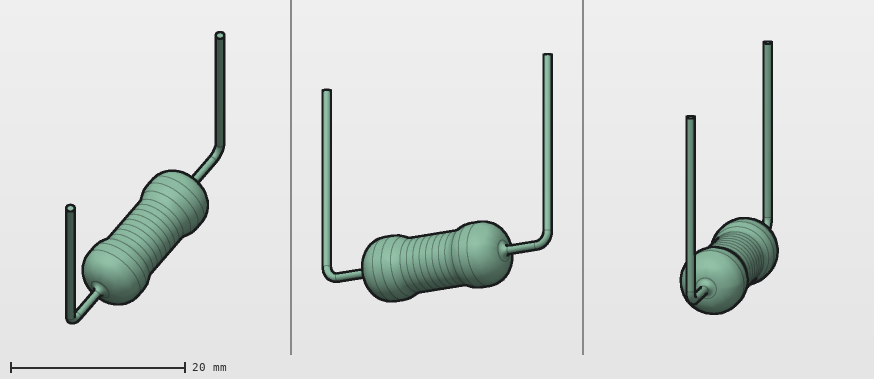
import cadquery as cq
import math

overall_length = 31.0
overall_height = 26.1

wire_diameter = 1.0
wire_radius = wire_diameter / 2
bend_radius = 1.5
lead_y = (overall_length - wire_diameter) / 2

cap_radius = 7.5 / 2
waist_radius = 6.4 / 2
body_half_length = 9.02
cap_round_length = 2.6
cap_inner_edge = 5.25
lead_top = overall_height - cap_radius

collar_radius = 0.75
collar_base_radius = wire_radius + collar_radius

band_count = 7
band_width = 0.87
waist_half_length = band_count * band_width / 2


def cap():
    """Revolve the +Y end of the body, from the end of the waist to the collar."""
    collar_end = body_half_length + collar_radius
    collar_offset = collar_radius * math.sin(math.pi / 4)
    collar_middle = (collar_base_radius - collar_offset, collar_end - collar_offset)
    flare_middle = ((waist_radius + cap_radius) / 2, (waist_half_length + cap_inner_edge) / 2)
    profile = (
        cq.Workplane("XY")
        .moveTo(waist_radius, 0)
        .lineTo(waist_radius, waist_half_length)
        .tangentArcPoint(flare_middle, relative=False)
        .tangentArcPoint((cap_radius, cap_inner_edge), relative=False)
        .lineTo(cap_radius, body_half_length - cap_round_length)
        .tangentArcPoint((collar_base_radius, body_half_length), relative=False)
        .threePointArc(collar_middle, (wire_radius, collar_end))
        .lineTo(0, collar_end)
        .lineTo(0, 0)
        .close()
    )
    inside_waist = cq.Workplane("XZ").circle(cap_radius).extrude(-waist_half_length)
    return profile.revolve(360, (0, 0, 0), (0, 1, 0)).cut(inside_waist)


def lead():
    """Sweep the +Y wire: out along the axis, round the bend, then straight up."""
    bend_start = lead_y - bend_radius
    path = (
        cq.Workplane("YZ")
        .moveTo(waist_half_length, 0)
        .lineTo(bend_start, 0)
        .tangentArcPoint((lead_y, bend_radius), relative=False)
        .lineTo(lead_y, lead_top)
    )
    section = cq.Workplane("XZ", origin=(0, waist_half_length, 0)).circle(wire_radius)
    return section.sweep(path)


def band(index):
    """One flush colour band, a plain disc of the waist."""
    start = -waist_half_length + index * band_width
    return cq.Workplane("XZ", origin=(0, start, 0)).circle(waist_radius).extrude(-band_width)


end = cap().union(lead())
result = end
for band_index in range(band_count):
    result = result.union(band(band_index), clean=False)
result = result.union(end.mirror("XZ"), clean=False)